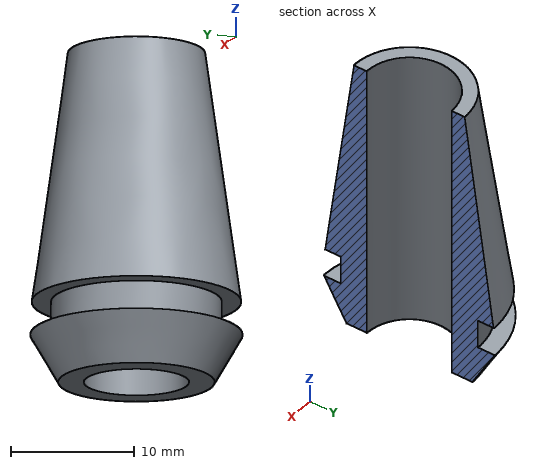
import cadquery as cq

total_height = 27.5
nose_height = 3.95
groove_width = 2.75
taper_bottom = nose_height + groove_width

nose_tip_diameter = 12.68
nose_rim_diameter = 17.25
groove_diameter = 13.85
taper_large_diameter = 17.0
taper_small_diameter = 11.16

bore_diameter = 8.52

half_section = [
    (bore_diameter / 2, 0),
    (nose_tip_diameter / 2, 0),
    (nose_rim_diameter / 2, nose_height),
    (groove_diameter / 2, nose_height),
    (groove_diameter / 2, taper_bottom),
    (taper_large_diameter / 2, taper_bottom),
    (taper_small_diameter / 2, total_height),
    (bore_diameter / 2, total_height),
]

result = (
    cq.Workplane("XZ")
    .polyline(half_section)
    .close()
    .revolve(360, (0, 0, 0), (0, 1, 0))
)